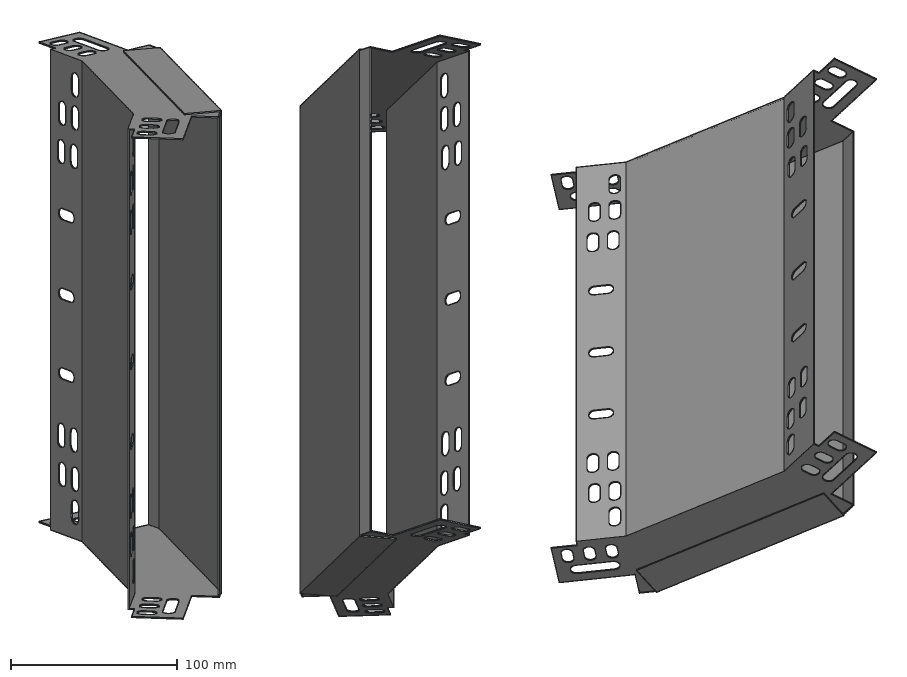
import cadquery as cq
import math

SHEET = 0.8
INNER_WIDTH = 300.0
WALL_HEIGHT = 51.0
BEND_ANGLE = math.radians(22.5)
HALF_BASE = 55.47

WING_LENGTH = 30.2
EAR_LENGTH = 46.0
EAR_BOTTOM = 3.92
EAR_TOP = 35.0

LIP_DEPTH = 23.0

SLOT_WIDTH = 7.0
EAR_LONG_SLOT_WIDTH = 7.5
WING_SLOT_LENGTH = 15.0
EAR_SHORT_SLOT_LENGTH = 12.0
EAR_LONG_SLOT_LENGTH = 30.0

UPRIGHT_WING_SLOTS = [
    (6.8, 134.0),
    (6.8, 113.3),
    (19.1, 113.3),
    (7.8, 89.0),
    (20.1, 89.0),
]
LEVEL_WING_SLOT_PITCH = 50.0

EAR_SHORT_SLOT_HEIGHT = 12.2
EAR_SHORT_SLOT_FIRST = 10.4
EAR_SHORT_SLOT_PITCH = 13.5
EAR_SHORT_SLOT_COUNT = 3
EAR_LONG_SLOT_CENTER = (22.6, 25.0)

HALF_INNER = INNER_WIDTH / 2
HALF_TRAY = HALF_INNER + SHEET
HALF_COVER = HALF_TRAY + SHEET
COVER_TOP = WALL_HEIGHT + SHEET
CUT_REACH = 2 * SHEET


def sloped(along, height):
    """XY point on the +X end, given along the wing and square to it from the fold."""
    x = HALF_BASE + along * math.cos(BEND_ANGLE) + height * math.sin(BEND_ANGLE)
    y = height * math.cos(BEND_ANGLE) - along * math.sin(BEND_ANGLE)
    return (x, y)


def fold(height):
    """XY point where a bent sheet face at this height folds, on the bisector of the bend."""
    return (HALF_BASE + height * math.tan(BEND_ANGLE / 2), height)


def symmetric_prism(right_side, z_min, z_max):
    """Prism along Z whose outline is right_side, a run of +X points, closed by its mirror image."""
    left_side = [(-x, y) for x, y in reversed(right_side)]
    outline = cq.Workplane("XY").workplane(offset=z_min).polyline(right_side + left_side).close()
    return outline.extrude(z_max - z_min)


def both_ends(cutter):
    """The cutter of the +X end together with its mirror image on the -X end."""
    return cutter.add(cutter.mirror("YZ"))


def wing_slots():
    """Cutters for the slots through the +X wing of the base."""
    x, y = sloped(0, SHEET / 2)
    wing_plane = cq.Plane(
        origin=(x, y, 0),
        xDir=(math.cos(BEND_ANGLE), -math.sin(BEND_ANGLE), 0),
        normal=(-math.sin(BEND_ANGLE), -math.cos(BEND_ANGLE), 0),
    )
    upright = [(along, side * z) for along, z in UPRIGHT_WING_SLOTS for side in (1, -1)]
    level = [(WING_LENGTH / 2, row * LEVEL_WING_SLOT_PITCH) for row in (-1, 0, 1)]
    cutters = cq.Workplane(wing_plane).pushPoints(upright)
    cutters = cutters.slot2D(WING_SLOT_LENGTH, SLOT_WIDTH, 90).extrude(CUT_REACH, both=True)
    level_cutters = cq.Workplane(wing_plane).pushPoints(level)
    level_cutters = level_cutters.slot2D(WING_SLOT_LENGTH, SLOT_WIDTH).extrude(CUT_REACH, both=True)
    return cutters.add(level_cutters)


def ear_slots():
    """Cutters for the slots of the +X ears, running through both side walls."""
    slope = -math.degrees(BEND_ANGLE)
    short_centers = [
        sloped(EAR_SHORT_SLOT_FIRST + i * EAR_SHORT_SLOT_PITCH, EAR_SHORT_SLOT_HEIGHT)
        for i in range(EAR_SHORT_SLOT_COUNT)
    ]
    cutters = cq.Workplane("XY").pushPoints(short_centers)
    cutters = cutters.slot2D(EAR_SHORT_SLOT_LENGTH, SLOT_WIDTH, slope + 90).extrude(HALF_COVER, both=True)
    long_cutter = cq.Workplane("XY").pushPoints([sloped(*EAR_LONG_SLOT_CENTER)])
    long_cutter = long_cutter.slot2D(EAR_LONG_SLOT_LENGTH, EAR_LONG_SLOT_WIDTH, slope)
    long_cutter = long_cutter.extrude(HALF_COVER, both=True)
    return cutters.add(long_cutter)


def make_tray():
    """Base with bent wings, and two side walls that carry the slotted ears."""
    base_edge = [
        fold(0),
        sloped(WING_LENGTH, 0),
        sloped(WING_LENGTH, SHEET),
        fold(SHEET),
    ]
    wall_edge = [
        fold(0),
        sloped(WING_LENGTH, 0),
        sloped(WING_LENGTH, EAR_BOTTOM),
        sloped(EAR_LENGTH, EAR_BOTTOM),
        sloped(EAR_LENGTH, EAR_TOP),
        sloped(0, EAR_TOP),
        sloped(0, WALL_HEIGHT),
        fold(WALL_HEIGHT),
    ]
    tray = symmetric_prism(base_edge, -HALF_TRAY, HALF_TRAY)
    for z_min in (-HALF_TRAY, HALF_INNER):
        tray = tray.union(symmetric_prism(wall_edge, z_min, z_min + SHEET))
    for cutters in (wing_slots(), ear_slots()):
        for cutter in both_ends(cutters).vals():
            tray = tray.cut(cq.Workplane(cutter))
    return tray


def make_cover():
    """Plate with bent wings resting on the walls, and two lips outside the walls."""
    plate_edge = [
        fold(WALL_HEIGHT),
        sloped(0, WALL_HEIGHT),
        sloped(0, COVER_TOP),
        fold(COVER_TOP),
    ]
    half_lip = fold(COVER_TOP)[0]
    lip_edge = [(half_lip, COVER_TOP - LIP_DEPTH), (half_lip, COVER_TOP)]
    cover = symmetric_prism(plate_edge, -HALF_TRAY, HALF_TRAY)
    for z_min in (-HALF_COVER, HALF_TRAY):
        cover = cover.union(symmetric_prism(lip_edge, z_min, z_min + SHEET))
    return cover


tray = make_tray()
cover = make_cover()

result = cq.Compound.makeCompound([*tray.solids().vals(), *cover.solids().vals()])